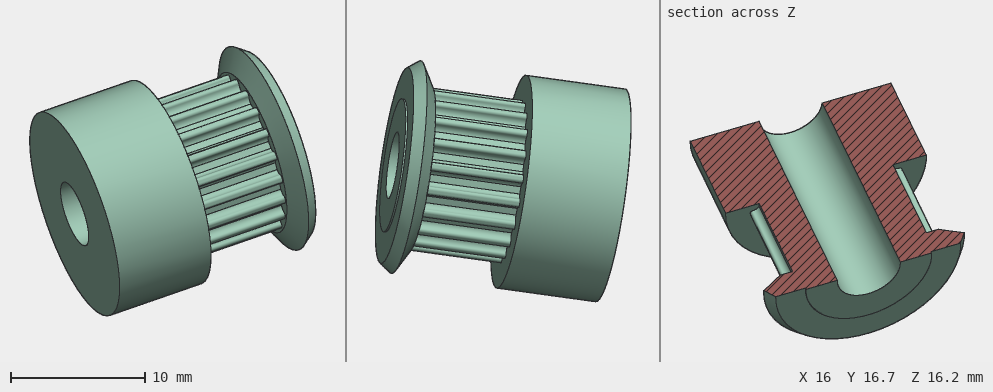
import cadquery as cq
import math

hub_length = 7.5
toothed_length = 7.0
flange_cone_length = 1.0
flange_back_length = 0.88
boss_length = 0.13

hub_diameter = 16.0
bore_diameter = 5.0
boss_diameter = 10.0
flange_inner_diameter = 12.59
flange_rim_diameter = hub_diameter
flange_back_diameter = 14.72

tooth_count = 20
tooth_tip_diameter = 12.19
tooth_land_width = 0.18
groove_floor_diameter = 10.67
groove_floor_width = 0.55
groove_flank_radius = 0.55
tooth_tip_rounding = 0.23

flank_top_distance = 5.81
flank_top_width = 1.2

axis_tilt = 0.67

tooth_start = hub_length
flange_start = tooth_start + toothed_length
rim_station = flange_start + flange_cone_length
flange_end = rim_station + flange_back_length
total_length = flange_end + boss_length


def make_turned_body():
    """Hub, toothed drum, double-cone flange and thin rear boss, turned about the Y axis."""
    return (
        cq.Workplane("XY")
        .moveTo(0, 0)
        .lineTo(hub_diameter / 2, 0)
        .lineTo(hub_diameter / 2, tooth_start)
        .lineTo(tooth_tip_diameter / 2, tooth_start)
        .lineTo(tooth_tip_diameter / 2, flange_start)
        .lineTo(flange_inner_diameter / 2, flange_start)
        .lineTo(flange_rim_diameter / 2, rim_station)
        .lineTo(flange_back_diameter / 2, flange_end)
        .lineTo(boss_diameter / 2, flange_end)
        .lineTo(boss_diameter / 2, total_length)
        .lineTo(0, total_length)
        .close()
        .revolve(360, (0, 0, 0), (0, 1, 0))
    )


def make_groove():
    """One belt groove along Y, opening towards +X: flat floor, hollow flanks, rounded tooth tips."""
    tip_radius = tooth_tip_diameter / 2
    land_start_angle = math.pi / tooth_count - tooth_land_width / tooth_tip_diameter

    floor_x = groove_floor_diameter / 2
    floor_z = groove_floor_width / 2
    flank_top_z = flank_top_width / 2
    land_x = tip_radius * math.cos(land_start_angle)
    land_z = tip_radius * math.sin(land_start_angle)
    mouth_x = tip_radius + tooth_tip_rounding

    return (
        cq.Workplane("XZ", origin=(0, tooth_start, 0))
        .moveTo(floor_x, -floor_z)
        .lineTo(floor_x, floor_z)
        .radiusArc((flank_top_distance, flank_top_z), groove_flank_radius)
        .radiusArc((land_x, land_z), -tooth_tip_rounding)
        .lineTo(mouth_x, land_z)
        .lineTo(mouth_x, -land_z)
        .lineTo(land_x, -land_z)
        .radiusArc((flank_top_distance, -flank_top_z), -tooth_tip_rounding)
        .radiusArc((floor_x, -floor_z), groove_flank_radius)
        .close()
        .extrude(-toothed_length)
    )


def cut_teeth(body):
    """Cut evenly spaced belt grooves between the hub and the flange."""
    groove = make_groove()
    for index in range(tooth_count):
        angle = index * 360 / tooth_count
        body = body.cut(groove.rotate((0, 0, 0), (0, 1, 0), angle))
    return body


def cut_bore(body):
    """Through bore on the pulley axis."""
    bore = cq.Workplane("XZ").circle(bore_diameter / 2).extrude(-total_length)
    return body.cut(bore)


pulley = cut_bore(cut_teeth(make_turned_body()))
result = pulley.rotate((0, 0, 0), (1, 0, 0), -axis_tilt)